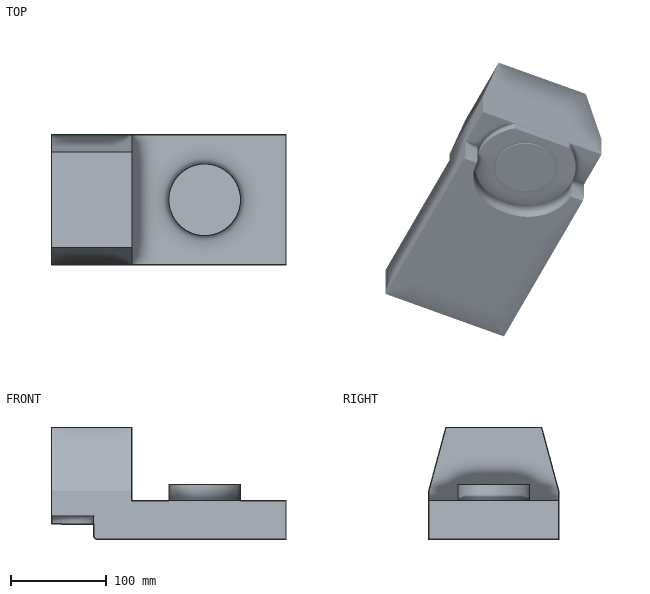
import cadquery as cq

length = 245.0
width = 136.0
base_start = 44.0
base_top = 40.5
base_chamfer = 2.75

head_length = 84.0
head_underside = 24.25
head_top = 117.0
slope_start = 50.25
head_top_width = 100.0

pad_diameter = 74.9
pad_top = 57.5
pad_x = 160.0

disc_x = 41.9
disc_diameter = 104.6
disc_front = 0.25
disc_bottom = 16.25
collar_diameter = 63.0
collar_height = 1.0

pocket_width = 108.2
pocket_flat = 7.3
pocket_radius = (pocket_width - pocket_flat) / 2


def cylinder(x, diameter, bottom, top):
    """Vertical cylinder centred on the XZ plane."""
    return cq.Workplane("XY", origin=(x, 0, bottom)).circle(diameter / 2).extrude(top - bottom)


def make_base():
    plate = cq.Workplane("XY").box(
        length - base_start, width, base_top, centered=(False, True, False)
    )
    plate = plate.translate((base_start, 0, 0))
    return plate.faces("<Z").edges("<X").chamfer(base_chamfer)


def make_head():
    half_width = width / 2
    half_top = head_top_width / 2
    profile = [
        (-half_width, head_underside),
        (half_width, head_underside),
        (half_width, slope_start),
        (half_top, head_top),
        (-half_top, head_top),
        (-half_width, slope_start),
    ]
    return cq.Workplane("YZ").polyline(profile).close().extrude(head_length)


def make_pocket():
    block = cq.Workplane("XY").box(
        base_start + pocket_radius, pocket_width, head_underside, centered=(False, True, False)
    )
    return block.edges("|Z and >X").fillet(pocket_radius)


def make_disc():
    disc = cylinder(disc_x, disc_diameter, disc_bottom, head_underside)
    front_trim = cq.Workplane("XY", origin=(disc_front, 0, 0)).box(
        disc_diameter, width, head_underside, centered=(False, True, False)
    )
    collar = cylinder(disc_x, collar_diameter, disc_bottom - collar_height, head_underside)
    return disc.intersect(front_trim).union(collar)


result = make_base().cut(make_pocket())
result = result.union(make_head())
result = result.union(make_disc())
result = result.union(cylinder(pad_x, pad_diameter, base_top, pad_top))